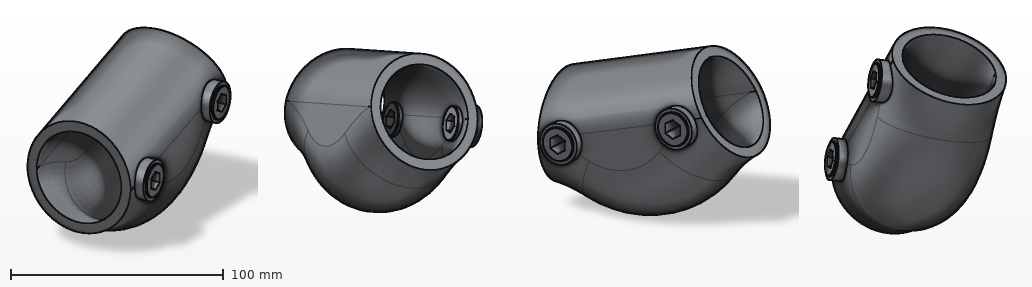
import cadquery as cq
import math

BEND_ANGLE = 30.0
HALF_BEND = math.radians(BEND_ANGLE / 2)
OUTER_DIAMETER = 56.0
BORE_DIAMETER = 46.0
OUTER_RADIUS = OUTER_DIAMETER / 2
BORE_RADIUS = BORE_DIAMETER / 2
MOUTH_DISTANCE = 91.8

BELLY_RADIUS = 32.1
BELLY_HALF_ANGLE = math.radians(38)
BELLY_DEPTH = 20.9
BELLY_SHIFT = 1.2

BACK_DROP = OUTER_RADIUS * (1 - math.cos(HALF_BEND))
OVERRUN = 30.8
PIPE_OVERRUN = 4.1
TRIM_REACH = 71.8

SCREW_INSET = 14.0
BOSS_DIAMETER = 20.0
BOSS_END = 32.5
SCREW_DIAMETER = 16.6
SCREW_INNER_END = 20.6
SCREW_OUTER_END = 33.5
SCREW_CHAMFER = 0.4
HEX_ACROSS_FLATS = 8.0


def bend_point(along, up):
    """Point in YZ, measured along and square to the chord between the mouths."""
    return (
        along * math.cos(HALF_BEND) - up * math.sin(HALF_BEND),
        along * math.sin(HALF_BEND) + up * math.cos(HALF_BEND),
    )


FIRST_MOUTH = bend_point(0, 0)
SECOND_MOUTH = bend_point(MOUTH_DISTANCE, 0)


def vector(point):
    return cq.Vector(0, *point)


def belly_edges():
    middle = MOUTH_DISTANCE / 2 - BELLY_SHIFT
    half_span = BELLY_RADIUS * math.sin(BELLY_HALF_ANGLE)
    joint_up = BELLY_RADIUS * (1 - math.cos(BELLY_HALF_ANGLE)) - BELLY_DEPTH
    near_joint = vector(bend_point(middle - half_span, joint_up))
    far_joint = vector(bend_point(middle + half_span, joint_up))
    lowest = vector(bend_point(middle, -BELLY_DEPTH))
    belly = cq.Edge.makeThreePointArc(near_joint, lowest, far_joint)
    near_end = cq.Edge.makeTangentArc(near_joint, belly.tangentAt(0) * -1, vector(FIRST_MOUTH))
    far_end = cq.Edge.makeTangentArc(far_joint, belly.tangentAt(1), vector(SECOND_MOUTH))
    return [near_end, belly, far_end]


def belly_pipe(radius):
    """Round bar swept along the sagging centreline, running straight on past the mouths."""
    edges = belly_edges()
    near_out = edges[0].tangentAt(1)
    far_out = edges[-1].tangentAt(1)
    near_tip = vector(FIRST_MOUTH) + near_out * PIPE_OVERRUN
    far_tip = vector(SECOND_MOUTH) + far_out * PIPE_OVERRUN
    near_tail = cq.Edge.makeLine(near_tip, vector(FIRST_MOUTH))
    far_tail = cq.Edge.makeLine(vector(SECOND_MOUTH), far_tip)
    path = cq.Wire.assembleEdges([near_tail] + edges + [far_tail])
    start = cq.Plane(origin=path.startPoint(), xDir=(1, 0, 0), normal=path.tangentAt(0))
    return cq.Workplane(start).circle(radius).sweep(cq.Workplane(path))


def half_cylinder(radius):
    """Upper half of the straight round bar along the chord."""
    start = bend_point(-OVERRUN, -BACK_DROP)
    plane = cq.Plane(origin=(0, *start), xDir=(1, 0, 0), normal=vector(SECOND_MOUTH))
    return (
        cq.Workplane(plane)
        .moveTo(-radius, 0)
        .threePointArc((0, -radius), (radius, 0))
        .close()
        .extrude(MOUTH_DISTANCE + 2 * OVERRUN)
    )


def flat_web(half_width):
    """Flat-sided fill between the mouth chord and the belly centreline."""
    chord = cq.Edge.makeLine(vector(SECOND_MOUTH), vector(FIRST_MOUTH))
    outline = cq.Wire.assembleEdges(belly_edges() + [chord])
    across = cq.Vector(2 * half_width, 0, 0)
    web = cq.Solid.extrudeLinear(outline, [], across).translate(across * -0.5)
    return cq.Workplane(web)


def space_above_axis():
    """Block over the plane through the axis of the back."""
    return (
        cq.Workplane("YZ")
        .polyline([
            bend_point(-OVERRUN, -BACK_DROP),
            bend_point(MOUTH_DISTANCE + OVERRUN, -BACK_DROP),
            bend_point(MOUTH_DISTANCE + OVERRUN, TRIM_REACH),
            bend_point(-OVERRUN, TRIM_REACH),
        ])
        .close()
        .extrude(OUTER_DIAMETER, both=True)
    )


def elbow_form(radius):
    belly = flat_web(radius).union(belly_pipe(radius)).cut(space_above_axis())
    return half_cylinder(radius).union(belly)


def mouth_trim():
    """Block bounded by the two mouth planes."""
    bend = math.radians(BEND_ANGLE)
    rise_y = -TRIM_REACH * math.sin(bend)
    rise_z = TRIM_REACH * math.cos(bend)
    far_y, far_z = SECOND_MOUTH
    return (
        cq.Workplane("YZ")
        .polyline([
            (0, -TRIM_REACH),
            (far_y - rise_y, far_z - rise_z),
            (far_y + rise_y, far_z + rise_z),
            (0, TRIM_REACH),
        ])
        .close()
        .extrude(OUTER_DIAMETER, both=True)
    )


def screw_centres():
    bend = math.radians(BEND_ANGLE)
    far_y, far_z = SECOND_MOUTH
    return [
        (SCREW_INSET, 0),
        (far_y - SCREW_INSET * math.cos(bend), far_z - SCREW_INSET * math.sin(bend)),
    ]


def screw_blank(centre):
    length = SCREW_OUTER_END - SCREW_INNER_END
    return (
        cq.Workplane("YZ", origin=(SCREW_INNER_END, *centre))
        .circle(SCREW_DIAMETER / 2)
        .extrude(length)
    )


def make_elbow():
    elbow = elbow_form(OUTER_RADIUS)
    for centre in screw_centres():
        boss = cq.Workplane("YZ", origin=(0, *centre)).circle(BOSS_DIAMETER / 2).extrude(BOSS_END)
        elbow = elbow.union(boss)
    elbow = elbow.cut(elbow_form(BORE_RADIUS)).intersect(mouth_trim())
    for centre in screw_centres():
        elbow = elbow.cut(screw_blank(centre))
    return elbow


def make_screw(centre):
    """Set screw with chamfered ends and a hexagonal hole right through."""
    corner_diameter = HEX_ACROSS_FLATS / math.cos(math.pi / 6)
    hexagon = (
        cq.Workplane("YZ", origin=(SCREW_INNER_END, *centre))
        .transformed(rotate=(0, 0, 90))
        .polygon(6, corner_diameter)
        .extrude(SCREW_OUTER_END - SCREW_INNER_END)
    )
    return screw_blank(centre).faces("<X or >X").chamfer(SCREW_CHAMFER).cut(hexagon)


elbow = make_elbow()
screws = [make_screw(centre) for centre in screw_centres()]
result = cq.Compound.makeCompound([elbow.val(), *[screw.val() for screw in screws]])